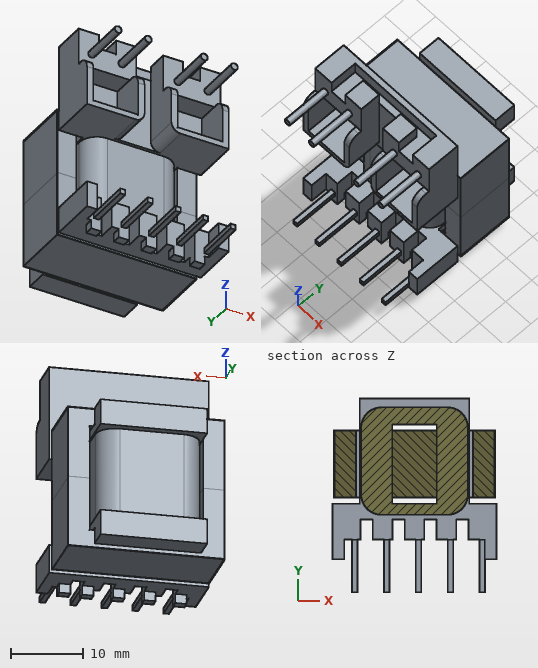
import cadquery as cq


CORE_WIDTH = 22.15
CORE_DEPTH = 9.3
CORE_HALF_HEIGHT = 10.25
WINDOW_WIDTH = 16.15
WINDOW_HALF_HEIGHT = 7.72
CENTRE_LEG_WIDTH = 6.13
TAPE_THICKNESS = 0.1

WINDING_HALF_HEIGHT = 6.38
WINDING_WIDTH = 14.78
WINDING_BACK_Y = 7.85
WINDING_FRONT_Y = -7.02
WINDING_CORNER_RADIUS = 2.85
BORE_DEPTH = 10.92
FLANGE_WIDTH = 15.13
FLANGE_BACK_Y = 9.05
BACK_BLOCK_HEIGHT = 3.65

BLOCK_WIDTH = 22.7
BLOCK_BACK_Y = -BORE_DEPTH / 2
BLOCK_FRONT_Y = -13.18

UPPER_TOP_Z = 20.08
UPPER_FACE_Y = -10.92
CHANNEL_WIDTH = 4.3
CHANNEL_BACK_Y = -7.5
POD_CORNER_RADIUS = 1.45
SHELF_Z = 14.27
SHELF_ROUND_RADIUS = 1.72
POD_POCKET_WIDTH = 7.15
POD_FLOOR_THICKNESS = 0.9
TOP_POCKET_WIDTH = 16.18
TOP_POCKET_DEPTH = 2.27
TOP_POCKET_BACK_Y = -6.38
POST_WIDTH = 3.2
ROUND_PIN_DIAMETER = 1.1
ROUND_PIN_TIP_Y = -18.23
ROUND_PIN_Z = 16.47
ROUND_PIN_INNER_X = 4.47
ROUND_PIN_OUTER_X = 9.3

LOWER_HEIGHT = 4.12
TOOTH_COUNT = 5
TOOTH_PITCH = 4.4
TOOTH_FACE_Y = -10.45
SLOT_WIDTH = 1.65
SLOT_BACK_Y = -7.65
ARM_WIDTH = 1.65
FOOT_WIDTH = 1.63
FOOT_DEPTH = 1.37
FOOT_HEIGHT = 1.35
SQUARE_PIN_SIDE = 0.8
SQUARE_PIN_TIP_Y = -17.7
SQUARE_PIN_ABOVE_BASE = 0.85

POD_WIDTH = (BLOCK_WIDTH - CHANNEL_WIDTH) / 2
POD_CENTRE_X = (CHANNEL_WIDTH + POD_WIDTH) / 2
POST_CENTRE_X = (CHANNEL_WIDTH + POST_WIDTH) / 2
LOWER_TOP_Z = -WINDING_HALF_HEIGHT
LOWER_BASE_Z = LOWER_TOP_Z - LOWER_HEIGHT
SQUARE_PIN_Z = LOWER_BASE_Z + SQUARE_PIN_ABOVE_BASE
END_TOOTH = (TOOTH_COUNT - 1) // 2
FOOT_SHIFT = (TOOTH_PITCH - SLOT_WIDTH - FOOT_WIDTH) / 2


def box(x_range, y_range, z_range):
    """Box between the two limits given for each axis."""
    (x0, x1), (y0, y1), (z0, z1) = (sorted(limits) for limits in (x_range, y_range, z_range))
    return cq.Workplane("XY").box(x1 - x0, y1 - y0, z1 - z0, centered=False).translate((x0, y0, z0))


def span(centre, size):
    """Limits of a length that is centred on a place."""
    return (centre - size / 2, centre + size / 2)


def make_core_half(side):
    """E-shaped half of the core; side is 1 for the upper half and -1 for the lower half."""
    depth = span(0, CORE_DEPTH)
    core = box(span(0, CORE_WIDTH), depth, (0, side * CORE_HALF_HEIGHT))
    window = box(span(0, WINDOW_WIDTH), depth, (0, side * WINDOW_HALF_HEIGHT))
    centre_leg = box(span(0, CENTRE_LEG_WIDTH), depth, (0, side * WINDOW_HALF_HEIGHT))
    return core.cut(window.cut(centre_leg))


def make_core():
    """Core of two E shapes in one piece; the seam where they meet stays as a face boundary."""
    return make_core_half(1).union(make_core_half(-1), clean=False)


def make_tape():
    """Closed band of tape around the sides, top and bottom of the core."""
    depth = span(0, CORE_DEPTH)
    outer = box(
        span(0, CORE_WIDTH + 2 * TAPE_THICKNESS),
        depth,
        span(0, 2 * (CORE_HALF_HEIGHT + TAPE_THICKNESS)),
    )
    return outer.cut(box(span(0, CORE_WIDTH), depth, span(0, 2 * CORE_HALF_HEIGHT)))


def make_winding():
    """Rounded rectangular coil between the flanges."""
    y_range = (WINDING_FRONT_Y, WINDING_BACK_Y)
    z_range = (-WINDING_HALF_HEIGHT, WINDING_HALF_HEIGHT)
    return box(span(0, WINDING_WIDTH), y_range, z_range).edges("|Z").fillet(WINDING_CORNER_RADIUS)


def make_flange(side):
    """Flange plate inside the core window, with the taller block behind the core."""
    inner_z = side * WINDING_HALF_HEIGHT
    width = span(0, FLANGE_WIDTH)
    plate = box(width, (BLOCK_BACK_Y, FLANGE_BACK_Y), (inner_z, side * WINDOW_HALF_HEIGHT))
    back_block = box(width, (BORE_DEPTH / 2, FLANGE_BACK_Y), (inner_z, inner_z + side * BACK_BLOCK_HEIGHT))
    return plate.union(back_block)


def make_pod(side):
    """Front half of the upper block on one side of the channel, with its wire pocket."""
    base_z = WINDING_HALF_HEIGHT
    pod_x = side * POD_CENTRE_X
    lower = box(span(pod_x, POD_WIDTH), (BLOCK_FRONT_Y, CHANNEL_BACK_Y), (base_z, SHELF_Z))
    lower = lower.edges(">Z and <Y").fillet(SHELF_ROUND_RADIUS)
    upper = box(span(pod_x, POD_WIDTH), (UPPER_FACE_Y, CHANNEL_BACK_Y), (SHELF_Z, UPPER_TOP_Z))
    pocket = box(
        span(pod_x, POD_POCKET_WIDTH),
        (BLOCK_FRONT_Y, CHANNEL_BACK_Y),
        (base_z + POD_FLOOR_THICKNESS, SHELF_Z),
    )
    channel_side = "<X" if side > 0 else ">X"
    lower = lower.edges(f"|Y and <Z and {channel_side}").fillet(POD_CORNER_RADIUS)
    return upper.union(lower.cut(pocket))


def make_upper_block():
    """Upper terminal block: back wall, two pods, top pocket around two posts, round pins."""
    block = box(
        span(0, BLOCK_WIDTH), (CHANNEL_BACK_Y, BLOCK_BACK_Y), (WINDING_HALF_HEIGHT, UPPER_TOP_Z)
    )
    pocket_z = (UPPER_TOP_Z - TOP_POCKET_DEPTH, UPPER_TOP_Z)
    top_pocket = box(span(0, TOP_POCKET_WIDTH), (UPPER_FACE_Y, TOP_POCKET_BACK_Y), pocket_z)
    for side in (-1, 1):
        block = block.union(make_pod(side))
        post = box(span(side * POST_CENTRE_X, POST_WIDTH), (UPPER_FACE_Y, CHANNEL_BACK_Y), pocket_z)
        top_pocket = top_pocket.cut(post)
    block = block.cut(top_pocket)

    for x in (-ROUND_PIN_OUTER_X, -ROUND_PIN_INNER_X, ROUND_PIN_INNER_X, ROUND_PIN_OUTER_X):
        pin = (
            cq.Workplane("XZ", origin=(x, UPPER_FACE_Y, ROUND_PIN_Z))
            .circle(ROUND_PIN_DIAMETER / 2)
            .extrude(UPPER_FACE_Y - ROUND_PIN_TIP_Y)
        )
        block = block.union(pin)
    return block


def make_lower_block():
    """Lower terminal block: five teeth between two end arms, each with a foot and a square pin."""
    z_range = (LOWER_BASE_Z, LOWER_TOP_Z)
    block = box(span(0, BLOCK_WIDTH), (BLOCK_FRONT_Y, BLOCK_BACK_Y), z_range)
    block = block.cut(
        box(span(0, BLOCK_WIDTH - 2 * ARM_WIDTH), (BLOCK_FRONT_Y, TOOTH_FACE_Y), z_range)
    )

    for slot in range(TOOTH_COUNT - 1):
        slot_x = (slot + 0.5 - END_TOOTH) * TOOTH_PITCH
        block = block.cut(box(span(slot_x, SLOT_WIDTH), (TOOTH_FACE_Y, SLOT_BACK_Y), z_range))

    for tooth in range(-END_TOOTH, END_TOOTH + 1):
        tooth_x = tooth * TOOTH_PITCH
        pin_x = tooth_x + FOOT_SHIFT
        foot_x = tooth_x - FOOT_SHIFT if tooth == END_TOOTH else pin_x
        foot = box(
            span(foot_x, FOOT_WIDTH),
            (TOOTH_FACE_Y, TOOTH_FACE_Y + FOOT_DEPTH),
            (LOWER_BASE_Z - FOOT_HEIGHT, LOWER_BASE_Z),
        )
        pin = box(
            span(pin_x, SQUARE_PIN_SIDE),
            (SQUARE_PIN_TIP_Y, TOOTH_FACE_Y),
            span(SQUARE_PIN_Z, SQUARE_PIN_SIDE),
        )
        block = block.union(foot).union(pin)
    return block


def make_bobbin():
    """Winding, flanges and terminal blocks in one piece, with the bore for the centre leg."""
    bobbin = make_winding().union(make_upper_block()).union(make_lower_block())
    for side in (-1, 1):
        bobbin = bobbin.union(make_flange(side))
    bore = box(
        span(0, CENTRE_LEG_WIDTH), span(0, BORE_DEPTH), (-CORE_HALF_HEIGHT, CORE_HALF_HEIGHT)
    )
    return bobbin.cut(bore)


bobbin = make_bobbin()
core = make_core()
tape = make_tape()

result = cq.Compound.makeCompound([bobbin.val(), core.val(), tape.val()])